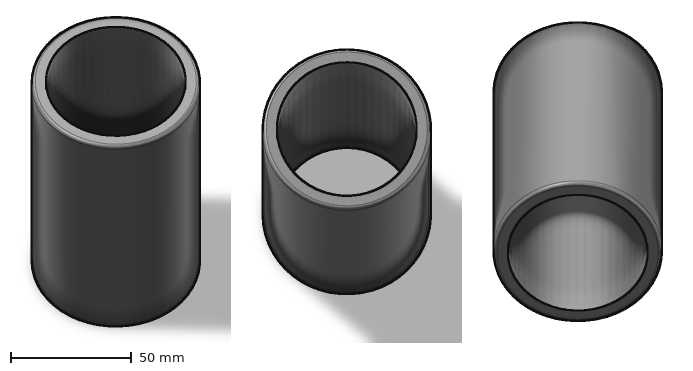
import cadquery as cq

length = 120.0
outer_diameter = 70.0
bore_diameter = 58.0
rim_radius = 1.5

body = cq.Workplane("XY").cylinder(length, outer_diameter / 2)
body = body.edges("%CIRCLE").fillet(rim_radius)

bore = cq.Workplane("XY").cylinder(length, bore_diameter / 2)

result = body.cut(bore)